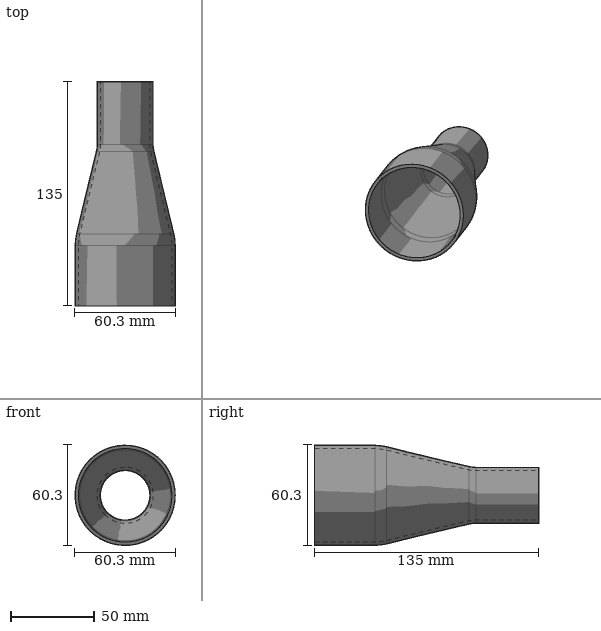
import cadquery as cq
import math

total_length = 135.0
wide_diameter = 60.3
narrow_diameter = 33.8
wall = 2.0
end_length = 40.0
wide_bend_radius = wide_diameter / 2
narrow_bend_radius = narrow_diameter / 2

wide_radius = wide_diameter / 2
narrow_radius = narrow_diameter / 2
cone_length = total_length - 2 * end_length
cone_angle = math.atan((wide_radius - narrow_radius) / cone_length)

wide_bend_start = end_length - wide_bend_radius * math.tan(cone_angle / 2)
narrow_bend_end = total_length - end_length + narrow_bend_radius * math.tan(cone_angle / 2)


def reducer_body(inset):
    """Solid of revolution bounded by the outer surface moved inwards by inset."""
    wide_arc = wide_bend_radius - inset
    narrow_arc = narrow_bend_radius + inset
    wide_centre = wide_radius - wide_bend_radius
    narrow_centre = narrow_radius + narrow_bend_radius

    def wide_bend_point(angle):
        return (
            wide_centre + wide_arc * math.cos(angle),
            wide_bend_start + wide_arc * math.sin(angle),
        )

    def narrow_bend_point(angle):
        return (
            narrow_centre - narrow_arc * math.cos(angle),
            narrow_bend_end - narrow_arc * math.sin(angle),
        )

    return (
        cq.Workplane("XY")
        .lineTo(wide_radius - inset, 0)
        .lineTo(*wide_bend_point(0))
        .threePointArc(wide_bend_point(cone_angle / 2), wide_bend_point(cone_angle))
        .lineTo(*narrow_bend_point(cone_angle))
        .threePointArc(narrow_bend_point(cone_angle / 2), narrow_bend_point(0))
        .lineTo(narrow_radius - inset, total_length)
        .lineTo(0, total_length)
        .close()
        .revolve(360, (0, 0, 0), (0, 1, 0))
    )


result = reducer_body(0).cut(reducer_body(wall))